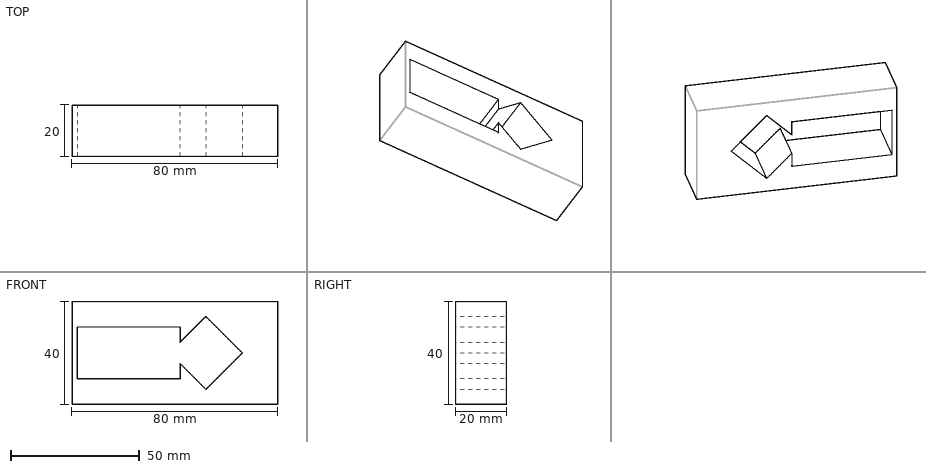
import cadquery as cq
import math

length = 80.0
depth = length / 4
height = length / 2
edge_radius = 0.2

end_wall = 2.0
window_length = length / 2
window_height = height / 2
window_center_x = -length / 2 + end_wall + window_length / 2

diamond_side = 20.0
diamond_center_x = 12.0
diamond_diagonal = diamond_side * math.sqrt(2)


def make_window():
    return cq.Workplane("XY").box(window_length, depth, window_height).translate((window_center_x, 0, 0))


def make_diamond():
    return (
        cq.Workplane("XZ")
        .center(diamond_center_x, 0)
        .polygon(4, diamond_diagonal)
        .extrude(depth / 2, both=True)
    )


block = cq.Workplane("XY").box(length, depth, height).edges().fillet(edge_radius)
result = block.cut(make_window()).cut(make_diamond())